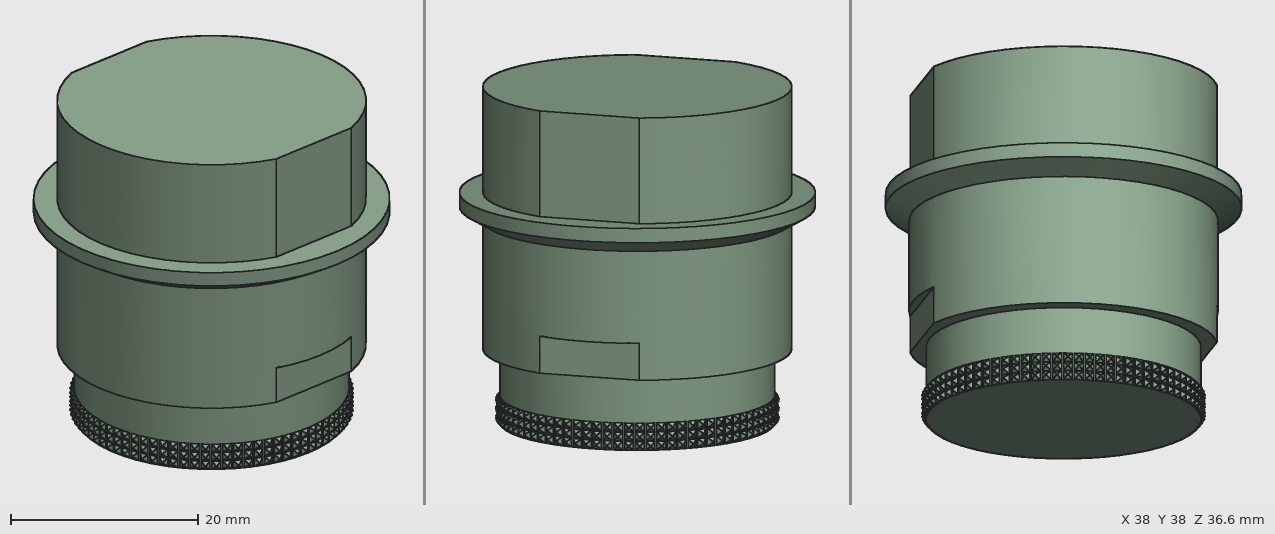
import cadquery as cq
import math

flange_radius = 19.0
body_radius = 16.5
core_radius = 14.65
flat_distance = 15.5

total_height = 36.6
knurl_height = 3.0
neck_height = 5.0
lower_flat_height = 4.03
head_height = 11.5
flange_height = 3.0
flange_cone_angle = 30.0

neck_top = knurl_height + neck_height
flange_top = total_height - head_height
flange_bottom = flange_top - flange_height
flange_cone_height = (flange_radius - body_radius) * math.tan(math.radians(flange_cone_angle))
rim_bottom = flange_bottom + flange_cone_height

knurl_rows = 3
knurl_columns = 80
tooth_tip_radius = 15.12
tooth_root_depth = 0.05
tooth_size = knurl_height / knurl_rows


def revolved_blank():
    """Core, body, flange and head as one turned profile."""
    profile = [
        (0, 0),
        (core_radius, 0),
        (core_radius, neck_top),
        (body_radius, neck_top),
        (body_radius, flange_bottom),
        (flange_radius, rim_bottom),
        (flange_radius, flange_top),
        (body_radius, flange_top),
        (body_radius, total_height),
        (0, total_height),
    ]
    return cq.Workplane("XZ").polyline(profile).close().revolve(360, (0, 0), (0, 1))


def flat_cutter(side, bottom, height):
    """Block that removes everything beyond the flat on one X side (+1 or -1)."""
    depth = flange_radius - flat_distance
    return (
        cq.Workplane("XY")
        .box(depth, 2 * flange_radius, height, centered=(True, True, False))
        .translate((side * (flat_distance + depth / 2), 0, bottom))
    )


def knurl_tooth():
    """Square pyramid pointing along +X, with its base centred at Z = 0."""
    base_radius = core_radius - tooth_root_depth
    half = tooth_size / 2
    tip = cq.Vector(tooth_tip_radius, 0, 0)
    corners = [
        cq.Vector(base_radius, y * half, z * half)
        for y, z in [(-1, -1), (1, -1), (1, 1), (-1, 1)]
    ]
    faces = [cq.Face.makeFromWires(cq.Wire.makePolygon(corners, close=True))]
    for i, corner in enumerate(corners):
        side = [corner, corners[(i + 1) % len(corners)], tip]
        faces.append(cq.Face.makeFromWires(cq.Wire.makePolygon(side, close=True)))
    return cq.Solid.makeSolid(cq.Shell.makeShell(faces))


def knurl_teeth():
    """Rows of pyramids around the core, with a gap between columns on each axis."""
    tooth = knurl_tooth()
    pitch_angle = 360 / knurl_columns
    teeth = []
    for row in range(knurl_rows):
        raised = tooth.translate(cq.Vector(0, 0, (row + 0.5) * tooth_size))
        for column in range(knurl_columns):
            angle = (column + 0.5) * pitch_angle
            teeth.append(raised.rotate(cq.Vector(0, 0, 0), cq.Vector(0, 0, 1), angle))
    return teeth


blank = revolved_blank()
for side in (-1, 1):
    blank = blank.cut(flat_cutter(side, neck_top, lower_flat_height))
    blank = blank.cut(flat_cutter(side, flange_top, head_height))

knurled_part = blank.val().fuse(*knurl_teeth())
result = cq.Workplane(knurled_part.Solids()[0])